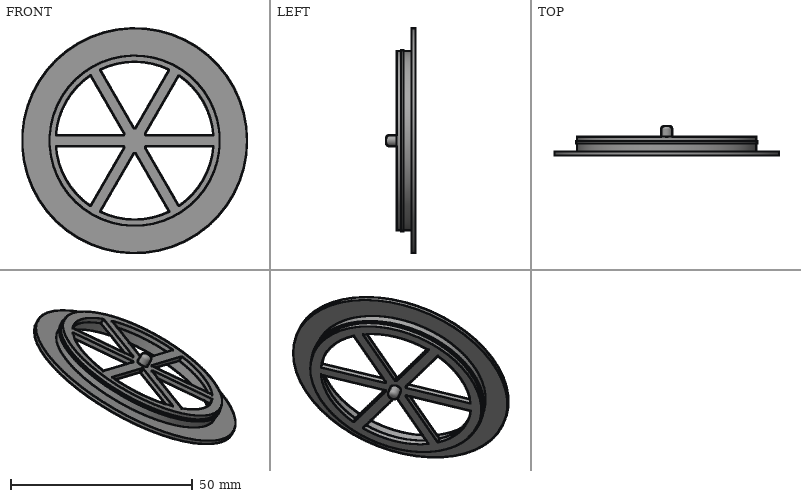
import cadquery as cq

flange_radius = 31.0
flange_thickness = 1.2
body_radius = 24.75
body_back = 5.2
bore_radius = 23.45

grille_thickness = 1.5
opening_radius = 21.7
spoke_width = 3.1
bar_count = 3
hub_radius = 3.4

bead_height = 0.25
bead_width = 0.6
bead_back = body_back - 1.25

pin_radius = 1.55
pin_length = 3.0
pin_nose_radius = 1.0


def disc(radius, start, end):
    """Cylinder along Y between two Y positions."""
    return cq.Workplane("XZ", origin=(0, start, 0)).circle(radius).extrude(start - end)


def make_ring():
    flange = disc(flange_radius, 0, flange_thickness)
    body = disc(body_radius, 0, body_back)
    return flange.union(body).union(make_bead())


def make_bead():
    return disc(body_radius + bead_height, bead_back - bead_width, bead_back)


def make_spokes():
    bar_length = opening_radius + bore_radius
    centre_y = body_back - grille_thickness / 2
    bar = cq.Workplane("XY").box(bar_length, grille_thickness, spoke_width).translate((0, centre_y, 0))
    spokes = bar.union(disc(hub_radius, body_back - grille_thickness, body_back))
    for index in range(1, bar_count):
        spokes = spokes.union(bar.rotate((0, 0, 0), (0, 1, 0), index * 180 / bar_count))
    return spokes


def make_pin():
    pin = disc(pin_radius, body_back - grille_thickness, body_back + pin_length)
    return pin.faces(">Y").edges().fillet(pin_nose_radius)


bore = disc(bore_radius, 0, body_back - grille_thickness)
opening = disc(opening_radius, 0, body_back)
ring = make_ring().cut(bore).cut(opening)
result = ring.union(make_spokes()).union(make_pin())